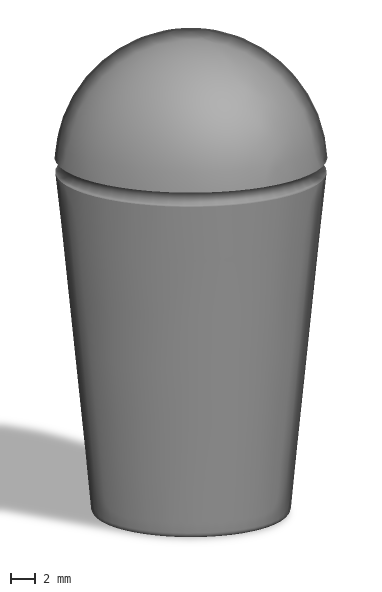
import cadquery as cq

total_height = 40.0
dome_radius = 11.0

groove_height = 1.2
groove_depth = 0.6

body_height = 28.4
body_top_radius = 10.9
base_radius = 8.0
base_fillet = 0.5

groove_floor_radius = body_top_radius - groove_depth
dome_base_height = body_height + groove_height
dome_center_height = total_height - dome_radius
dome_rise = dome_base_height - dome_center_height
dome_base_radius = (dome_radius**2 - dome_rise**2) ** 0.5
dome_mid_offset = dome_radius * 0.5**0.5
dome_mid_point = (dome_mid_offset, dome_center_height + dome_mid_offset)
groove_mid_point = (groove_floor_radius, body_height + groove_height / 2)

half_section = (
    cq.Workplane("XZ")
    .lineTo(base_radius, 0)
    .lineTo(body_top_radius, body_height)
    .threePointArc(groove_mid_point, (dome_base_radius, dome_base_height))
    .threePointArc(dome_mid_point, (0, total_height))
    .close()
)
knob = half_section.revolve(360, (0, 0, 0), (0, 1, 0))

result = knob.faces("<Z").edges().fillet(base_fillet)